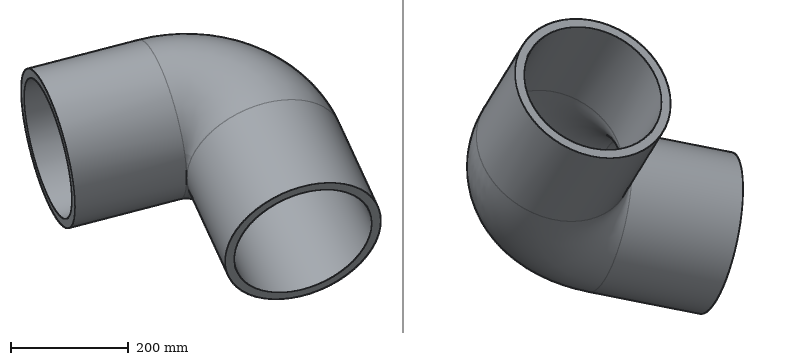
import cadquery as cq

outer_diameter = 280.0
wall_thickness = 16.6
leg_length = 200.0
bend_angle = 90.0

outer_radius = outer_diameter / 2
inner_radius = outer_radius - wall_thickness
bend_radius = outer_radius


def elbow_body(radius):
    """Solid elbow of the given section radius, with the bend axis along Z through the origin."""
    y_leg_section = cq.Workplane("XZ").center(-bend_radius, 0).circle(radius)
    y_leg = y_leg_section.extrude(leg_length)

    x_leg_section = cq.Workplane("YZ").center(bend_radius, 0).circle(radius)
    x_leg = x_leg_section.extrude(leg_length)

    axis_start = (bend_radius, 1, 0)
    axis_end = (bend_radius, 0, 0)
    bend_section = cq.Workplane("XZ").center(-bend_radius, 0).circle(radius)
    bend = bend_section.revolve(bend_angle, axis_start, axis_end)

    return bend.union(y_leg).union(x_leg)


result = elbow_body(outer_radius).cut(elbow_body(inner_radius))